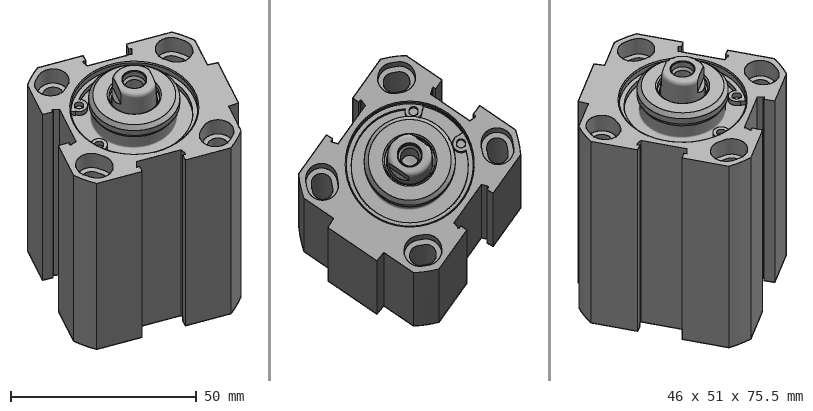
import cadquery as cq
import math

total_height = 75.5
housing_height = 64.5
collar_top = 69.5

housing_width = 46.0
half_width = housing_width / 2
half_depth = 24.0
corner_radius = 30.0
boss_top = 26.95
boss_top_half_width = 8.0
boss_base_half_width = 8.2

slot_mouth_half_width = 6.2
slot_lip_half_width = 6.1
slot_undercut_half_width = 6.95
slot_undercut_width = 0.45
slot_floor_half_width = 6.4
slot_lip_distance = 21.0
slot_floor_distance = 19.0

mount_x = 16.5
mount_y = 17.5
mount_slot_travel = 1.65
mount_hole_diameter = 5.5
counterbore_diameter = 8.5
counterbore_depth = 5.5

bore_diameter = 34.1
bore_mouth_diameter = 34.7
groove_diameter = 35.8
ring_depth = 2.05
ring_thickness = 1.5
ring_inner_diameter = 31.5
lug_hole_diameter = 2.5
lug_radius = 2.3
lug_distance = 15.1
lug_angle = 31.0
cover_thickness = 9.05

ring_top = housing_height - ring_depth
cover_top = ring_top - ring_thickness
bore_floor = cover_top - cover_thickness

collar_diameter = 24.5
collar_neck_diameter = 23.0
collar_top_chamfer = 1.1
collar_rim_height = 1.9
collar_under_chamfer_height = 1.3
neck_fillet = 0.45
rod_recess_mouth_diameter = 14.6
rod_recess_diameter = 13.7
rod_recess_depth = 2.0
rod_bore_diameter = 12.5

rod_diameter = 12.0
rod_fillet = 1.3
across_flats = 10.05
flat_half_width = across_flats / 2
flat_length = 4.5
socket_diameter = 6.3
socket_mouth_diameter = 6.7
socket_depth = 2.0
tapped_hole_diameter = 4.9
tapped_hole_depth = 11.3
drill_tip_half_angle = 80.0


def revolve_profile(points):
    """Solid of revolution about Z from (radius, height) points."""
    return cq.Workplane("XZ").polyline(points).close().revolve(360, (0, 0, 0), (0, 1, 0))


def cylinder(diameter, bottom, top):
    """Cylinder on the Z axis between two heights."""
    return cq.Workplane("XY").workplane(offset=bottom).circle(diameter / 2).extrude(top - bottom)


def t_slot(direction, outer_distance):
    """Undercut slot along Z that opens toward `direction` (degrees from +X)."""
    half_profile = [
        (outer_distance, slot_mouth_half_width),
        (slot_lip_distance, slot_lip_half_width),
        (slot_lip_distance, slot_undercut_half_width),
        (slot_lip_distance - slot_undercut_width, slot_undercut_half_width),
        (slot_floor_distance, slot_floor_half_width),
    ]
    mirrored = [(x, -y) for x, y in reversed(half_profile)]
    slot = cq.Workplane("XY").polyline(half_profile + mirrored).close().extrude(housing_height)
    return slot.rotate((0, 0, 0), (0, 0, 1), direction)


def mounting_hole(x_side, y_side):
    """Counterbored through hole, stretched at right angles to the corner diagonal."""
    stretch_angle = -45 * x_side * y_side
    hole = None
    for diameter, bottom in (
        (mount_hole_diameter, 0),
        (counterbore_diameter, housing_height - counterbore_depth),
    ):
        step = (
            cq.Workplane("XY")
            .workplane(offset=bottom)
            .center(x_side * mount_x, y_side * mount_y)
            .slot2D(diameter + mount_slot_travel, diameter, stretch_angle)
            .extrude(housing_height - bottom)
        )
        hole = step if hole is None else hole.union(step)
    return hole


def bore_cavity():
    """Blind bore with its snap-ring groove and chamfered mouth."""
    bore_radius = bore_diameter / 2
    groove_radius = groove_diameter / 2
    mouth_radius = bore_mouth_diameter / 2
    return revolve_profile([
        (0, bore_floor),
        (bore_radius, bore_floor),
        (bore_radius, cover_top),
        (groove_radius, cover_top),
        (groove_radius, ring_top),
        (bore_radius, ring_top),
        (bore_radius, housing_height - (mouth_radius - bore_radius)),
        (mouth_radius, housing_height),
        (0, housing_height),
    ])


def make_housing():
    block = cq.Workplane("XY").rect(2 * half_width, 2 * half_depth).extrude(housing_height)
    body = block.intersect(cylinder(2 * corner_radius, 0, housing_height))
    boss = (
        cq.Workplane("XY")
        .polyline([
            (-boss_base_half_width, 0),
            (-boss_base_half_width, half_depth),
            (-boss_top_half_width, boss_top),
            (boss_top_half_width, boss_top),
            (boss_base_half_width, half_depth),
            (boss_base_half_width, 0),
        ])
        .close()
        .extrude(housing_height)
    )
    body = body.union(boss)
    for direction, outer_distance in ((0, half_width), (180, half_width), (270, half_depth)):
        body = body.cut(t_slot(direction, outer_distance))
    for x_side in (-1, 1):
        for y_side in (-1, 1):
            body = body.cut(mounting_hole(x_side, y_side))
    return body.cut(bore_cavity())


def at_lug(shape, side):
    """Turn a shape built along -Y to the lug on the given side (-1 or +1)."""
    return shape.rotate((0, 0, 0), (0, 0, 1), side * lug_angle)


def make_snap_ring():
    outer_disc = cylinder(groove_diameter, cover_top, ring_top)
    ring = outer_disc.cut(cylinder(ring_inner_diameter, cover_top, ring_top))

    half_gap = math.radians(lug_angle) - math.asin(lug_radius / lug_distance)
    gap_half_width = groove_diameter * math.tan(half_gap)
    gap = (
        cq.Workplane("XY")
        .workplane(offset=cover_top)
        .polyline([(0, 0), (-gap_half_width, -groove_diameter), (gap_half_width, -groove_diameter)])
        .close()
        .extrude(ring_thickness)
    )

    lug_plane = cq.Workplane("XY").workplane(offset=cover_top).center(0, -lug_distance)
    lug_tip = lug_plane.circle(lug_radius).extrude(ring_thickness)
    lug_root = (
        lug_plane.rect(2 * lug_radius, lug_distance, centered=(True, False))
        .extrude(ring_thickness)
        .translate((0, -lug_distance, 0))
    )
    lug = lug_tip.union(lug_root).intersect(outer_disc)
    lug_hole = lug_plane.circle(lug_hole_diameter / 2).extrude(ring_thickness)

    for side in (-1, 1):
        ring = ring.union(at_lug(lug, side))
    ring = ring.cut(gap)
    for side in (-1, 1):
        ring = ring.cut(at_lug(lug_hole, side))
    return ring


def make_cover():
    neck_radius = collar_neck_diameter / 2
    collar_radius = collar_diameter / 2
    rim_top = collar_top - collar_top_chamfer
    rim_bottom = rim_top - collar_rim_height
    recess_radius = rod_recess_diameter / 2
    mouth_radius = rod_recess_mouth_diameter / 2
    rod_bore_radius = rod_bore_diameter / 2
    recess_floor = collar_top - rod_recess_depth
    profile = (
        cq.Workplane("XZ")
        .moveTo(rod_bore_radius, bore_floor)
        .lineTo(bore_diameter / 2, bore_floor)
        .lineTo(bore_diameter / 2, cover_top)
        .lineTo(neck_radius + neck_fillet, cover_top)
        .radiusArc((neck_radius, cover_top + neck_fillet), neck_fillet)
        .lineTo(neck_radius, rim_bottom - collar_under_chamfer_height)
        .lineTo(collar_radius, rim_bottom)
        .lineTo(collar_radius, rim_top)
        .lineTo(collar_radius - collar_top_chamfer, collar_top)
        .lineTo(mouth_radius, collar_top)
        .lineTo(recess_radius, collar_top - (mouth_radius - recess_radius))
        .lineTo(recess_radius, recess_floor)
        .lineTo(rod_bore_radius, recess_floor)
        .close()
    )
    return profile.revolve(360, (0, 0, 0), (0, 1, 0))


def threaded_socket():
    """Counterbored tapped hole with a conical step and a drill-point end."""
    socket_radius = socket_diameter / 2
    mouth_radius = socket_mouth_diameter / 2
    hole_radius = tapped_hole_diameter / 2
    socket_floor = total_height - socket_depth
    hole_end = total_height - tapped_hole_depth
    tip_depth = hole_radius / math.tan(math.radians(drill_tip_half_angle))
    return revolve_profile([
        (0, hole_end - tip_depth),
        (hole_radius, hole_end),
        (hole_radius, socket_floor - (socket_radius - hole_radius)),
        (socket_radius, socket_floor),
        (socket_radius, total_height - (mouth_radius - socket_radius)),
        (mouth_radius, total_height),
        (0, total_height),
    ])


def wrench_flat(side):
    """Cutter for one wrench flat, with a 45 degree run-out at its lower end."""
    runout = rod_diameter / 2 - flat_half_width
    flat_bottom = total_height - flat_length
    return (
        cq.Workplane("YZ")
        .polyline([
            (side * flat_half_width, total_height),
            (side * flat_half_width, flat_bottom),
            (side * (flat_half_width + runout), flat_bottom - runout),
            (side * (flat_half_width + runout), total_height),
        ])
        .close()
        .extrude(rod_diameter / 2, both=True)
    )


def make_rod():
    rod = cylinder(rod_diameter, bore_floor, total_height).faces(">Z").edges().fillet(rod_fillet)
    for side in (-1, 1):
        rod = rod.cut(wrench_flat(side))
    return rod.cut(threaded_socket())


housing = make_housing()
snap_ring = make_snap_ring()
cover = make_cover()
piston_rod = make_rod()

result = cq.Compound.makeCompound([
    housing.val(),
    snap_ring.val(),
    cover.val(),
    piston_rod.val(),
])